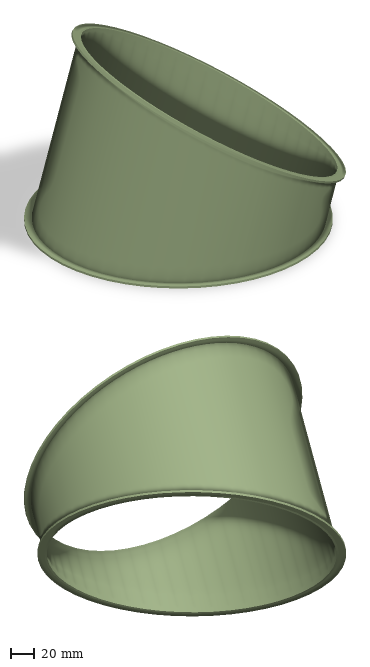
import cadquery as cq
import math

flange_diameter = 265.0
flange_thickness = 2.0
tube_outer_diameter = 252.7
tube_wall = 2.0
bend_angle = 30
overall_length = 276
upper_z = 107.0

flange_radius = flange_diameter / 2
tube_outer_radius = tube_outer_diameter / 2
tilt = math.radians(bend_angle)

upper_y = overall_length - flange_radius * (1 + math.cos(tilt))

lower_face = cq.Plane(origin=(0, 0, 0), xDir=(1, 0, 0), normal=(0, 0, 1))
upper_face = cq.Plane(
    origin=(0, upper_y, upper_z),
    xDir=(1, 0, 0),
    normal=(0, math.sin(tilt), math.cos(tilt)),
)


def flange(face, inward):
    """Disc with its outer side on the given face, thickened toward the tube."""
    return cq.Workplane(face).circle(flange_radius).extrude(inward * flange_thickness)


def rim(face):
    """Circle where the tube's outer surface meets a flange face."""
    return cq.Workplane(face).circle(tube_outer_radius).val().Edges()[0]


lower_circle = rim(lower_face)
upper_circle = rim(upper_face)
outer_skin = cq.Face.makeRuledSurface(lower_circle, upper_circle)
end_wires = [cq.Wire.assembleEdges([circle]) for circle in (lower_circle, upper_circle)]
envelope = cq.Solid.makeLoft(end_wires, True)

tube = outer_skin.thicken(-tube_wall)

flanges = flange(lower_face, 1).union(flange(upper_face, -1))
pierced_flanges = flanges.cut(cq.Workplane(obj=envelope))
result = pierced_flanges.union(cq.Workplane(obj=tube)).solids()